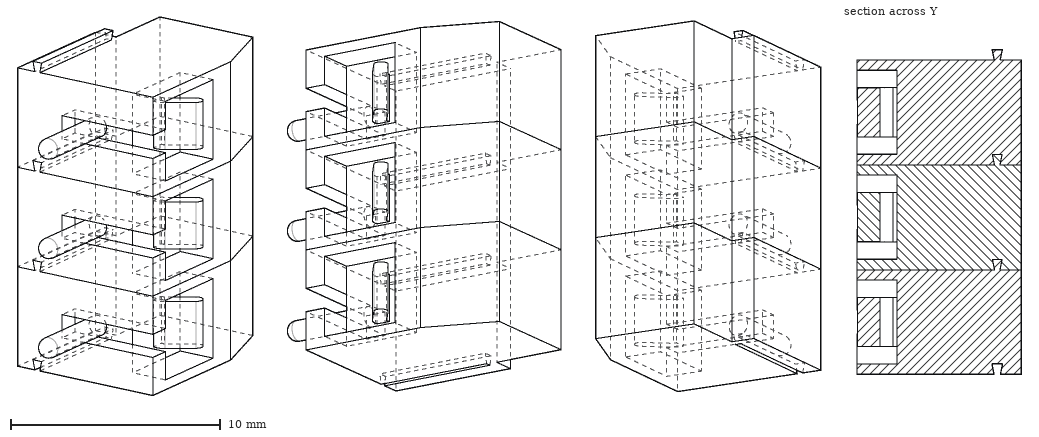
import cadquery as cq
import math


overall_height = 15.5
pole_count = 3
rail_height = 0.5
pitch = (overall_height - rail_height) / pole_count

housing_width = 7.85
housing_depth = 10.21
shoulder_depth = 6.54
step_width = 1.21
back_corner_x = 6.6

rail_center_x = 1.15
rail_tip_width = 0.5
rail_root_width = 0.3
rail_length = 6.01

slot_start_x = 2.59
slot_height = 1.16
slot_depth = 1.07
entry_start_x = 5.94
entry_size = 4.0

pin_diameter = 1.0
pin_x = housing_width / 2
pin_reach = 3.53

leaf_width = 2.35
leaf_thickness = 0.68
leaf_tilt = math.radians(36)
root_tilt = math.radians(12)
leaf_bend_x = 6.12
leaf_tip_reach = 0.03
leaf_tip_y = 4.08


def dovetail(base_z):
    """Dovetail bar standing on the plane z = base_z, wider at its top."""
    half_root = rail_root_width / 2
    half_tip = rail_tip_width / 2
    return (
        cq.Workplane("XZ", origin=(rail_center_x, 0, base_z))
        .moveTo(-half_root, 0)
        .lineTo(half_root, 0)
        .lineTo(half_tip, rail_height)
        .lineTo(-half_tip, rail_height)
        .close()
        .extrude(-rail_length)
    )


def make_housing(base_z):
    """One pole's housing, resting on the plane z = base_z."""
    block = (
        cq.Workplane("XY", origin=(0, 0, base_z))
        .lineTo(housing_width, 0)
        .lineTo(housing_width, shoulder_depth)
        .lineTo(back_corner_x, housing_depth)
        .lineTo(step_width, housing_depth)
        .lineTo(step_width, shoulder_depth)
        .lineTo(0, shoulder_depth)
        .close()
        .extrude(pitch)
    )
    center_z = base_z + pitch / 2
    slot = cq.Workplane("XY", origin=(slot_start_x, 0, center_z)).box(
        housing_width - slot_start_x, slot_depth, slot_height, centered=(False, False, True)
    )
    wire_entry = cq.Workplane("XY", origin=(entry_start_x, slot_depth, center_z)).box(
        housing_width - entry_start_x, entry_size, entry_size, centered=(False, False, True)
    )
    body = block.union(dovetail(base_z + pitch))
    return body.cut(dovetail(base_z)).cut(slot).cut(wire_entry)


def make_pin(center_z):
    """Round pin from the slot floor out through the board side, with a hemispherical tip."""
    radius = pin_diameter / 2
    shank_end = radius - pin_reach
    round_offset = radius * math.sqrt(0.5)
    return (
        cq.Workplane("XY", origin=(pin_x, 0, center_z))
        .moveTo(0, slot_depth)
        .lineTo(radius, slot_depth)
        .lineTo(radius, shank_end)
        .threePointArc((round_offset, shank_end - round_offset), (0, -pin_reach))
        .close()
        .revolve(360, (0, 0, 0), (0, 1, 0))
    )


def make_leaf(center_z):
    """Leaf from the inner wall of the wire entry, bent toward +Y, with its tip just outside."""
    tip_radius = leaf_thickness / 2
    along_x = math.cos(leaf_tilt)
    along_y = math.sin(leaf_tilt)

    tip_x = housing_width + leaf_tip_reach - tip_radius
    straight_length = (tip_x - leaf_bend_x - tip_radius * along_y) / along_x
    bend_y = leaf_tip_y - straight_length * along_y + tip_radius * along_x

    root_length = leaf_bend_x - entry_start_x
    root_inner_y = bend_y + root_length * math.tan(root_tilt)
    root_outer_y = root_inner_y - leaf_thickness / math.cos(root_tilt)
    bend_start = (
        leaf_bend_x - leaf_thickness * math.sin(root_tilt),
        bend_y - leaf_thickness * math.cos(root_tilt),
    )
    bend_end = (leaf_bend_x + leaf_thickness * along_y, bend_y - leaf_thickness * along_x)
    tip_outer = (tip_x + tip_radius * along_y, leaf_tip_y - tip_radius * along_x)
    tip_end = (tip_x + tip_radius * along_x, leaf_tip_y + tip_radius * along_y)
    tip_inner = (tip_x - tip_radius * along_y, leaf_tip_y + tip_radius * along_x)
    return (
        cq.Workplane("XY", origin=(0, 0, center_z))
        .moveTo(entry_start_x, root_outer_y)
        .lineTo(*bend_start)
        .threePointArc((leaf_bend_x, bend_y - leaf_thickness), bend_end)
        .lineTo(*tip_outer)
        .threePointArc(tip_end, tip_inner)
        .lineTo(leaf_bend_x, bend_y)
        .lineTo(entry_start_x, root_inner_y)
        .close()
        .extrude(leaf_width / 2, both=True)
    )


bodies = []
for pole in range(pole_count):
    pole_z = pole * pitch
    pole_center_z = pole_z + pitch / 2
    bodies.append(make_housing(pole_z).val())
    bodies.append(make_pin(pole_center_z).val())
    bodies.append(make_leaf(pole_center_z).val())

result = cq.Compound.makeCompound(bodies)